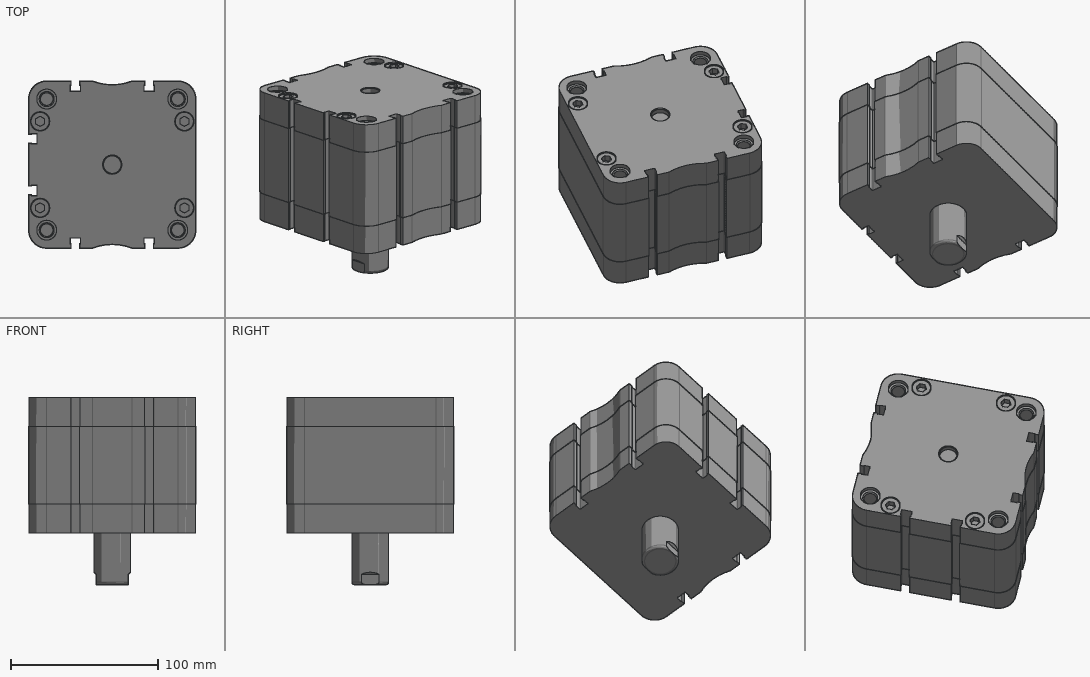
import cadquery as cq

TOTAL_HEIGHT = 127.0
ROD_REACH = 35.0
CAP_HEIGHT = 19.5
TUBE_BOTTOM = ROD_REACH + CAP_HEIGHT
TUBE_TOP = TOTAL_HEIGHT - CAP_HEIGHT

WIDTH = 113.5
HALF_WIDTH = WIDTH / 2
CORNER_RADIUS = 12.3
CAP_INSET = 0.3

HOLLOW_HALF_WIDTH = 13.5
HOLLOW_DEPTH = 2.5

SLOT_MOUTH_WIDTH = 5.7
SLOT_INNER_WIDTH = 6.7
SIDE_SLOT_OFFSET = 17.5
SIDE_SLOT_DEPTH = 5.6
SIDE_SLOT_LIP = 2.0
FACE_SLOT_OFFSET = 25.0
FACE_SLOT_DEPTH = 6.9
FACE_SLOT_LIP = 3.2

MOUNT_OFFSET = 44.5
MOUNT_BORE = 8.5
MOUNT_CHAMFER_DIAMETER = 10.2
MOUNT_COUNTERBORE = 13.5
MOUNT_COUNTERBORE_DEPTH = 3.0

CENTRE_BORE = 12.0
CENTRE_MOUTH = 13.1
CENTRE_DEPTH = 3.8

SCREW_X = 48.9
SCREW_Y = 29.3
SCREW_RECESS = 13.1
SCREW_RECESS_DEPTH = 1.0
SCREW_HEAD = 12.7
SCREW_HEAD_DROP = 0.6
SCREW_HEAD_CHAMFER = 0.19
HEX_ACROSS_FLATS = 6.0
HEX_DEPTH = 5.1

ROD_DIAMETER = 25.0
ROD_TIP_RADIUS = 1.9
WIDTH_ACROSS_FLATS = 22.0
FLAT_HEIGHT = 7.0


def rectangle_points(offset_x, offset_y):
    """Four points, mirrored about both axes."""
    return [(sx * offset_x, sy * offset_y) for sx in (-1, 1) for sy in (-1, 1)]


def slot_cutter(mouth_centre, angle, lip, depth, height):
    """T-slot cutter whose mouth lies at mouth_centre; at angle 0 it runs inward along +X."""
    mouth = cq.Workplane("XY").box(2 * lip, SLOT_MOUTH_WIDTH, height, centered=(True, True, False))
    inner = (
        cq.Workplane("XY")
        .box(depth - lip, SLOT_INNER_WIDTH, height, centered=(False, True, False))
        .translate((lip, 0, 0))
    )
    cutter = mouth.union(inner).rotate((0, 0, 0), (0, 0, 1), angle)
    return cutter.translate((*mouth_centre, 0))


def hollow_cutter(side, height):
    """Circular-arc hollow in the front (side = -1) or rear (side = 1) face."""
    face_y = side * HALF_WIDTH
    return (
        cq.Workplane("XY")
        .moveTo(-HOLLOW_HALF_WIDTH, face_y)
        .threePointArc((0, face_y - side * HOLLOW_DEPTH), (HOLLOW_HALF_WIDTH, face_y))
        .close()
        .extrude(height)
    )


def make_profile_block(height):
    """Rounded square block with the T-slots and hollows along its full height."""
    block = (
        cq.Workplane("XY")
        .rect(WIDTH, WIDTH)
        .extrude(height)
        .edges("|Z")
        .fillet(CORNER_RADIUS)
    )
    for side in (-1, 1):
        block = block.cut(hollow_cutter(side, height))
        side_mouth = (-HALF_WIDTH, side * SIDE_SLOT_OFFSET)
        block = block.cut(slot_cutter(side_mouth, 0, SIDE_SLOT_LIP, SIDE_SLOT_DEPTH, height))
    for x, y in rectangle_points(FACE_SLOT_OFFSET, HALF_WIDTH):
        angle = 90 if y < 0 else -90
        block = block.cut(slot_cutter((x, y), angle, FACE_SLOT_LIP, FACE_SLOT_DEPTH, height))
    return block


def make_plain_cap(bottom):
    """Cap with the tube outline drawn in by CAP_INSET."""
    outline = make_profile_block(CAP_HEIGHT).faces("<Z").wires().val()
    return (
        cq.Workplane("XY")
        .add(outline.offset2D(-CAP_INSET)[0])
        .toPending()
        .extrude(CAP_HEIGHT)
        .translate((0, 0, bottom))
    )


def make_tube():
    return make_profile_block(TUBE_TOP - TUBE_BOTTOM).translate((0, 0, TUBE_BOTTOM))


def make_lower_cap():
    """Lower cap, bored through to fit the rod."""
    bore = cq.Workplane("XY").circle(ROD_DIAMETER / 2).extrude(TUBE_BOTTOM)
    return make_plain_cap(ROD_REACH).cut(bore)


def mount_hole_cutter():
    """Threaded hole through the cap, with a chamfered mouth at the counterbore floor."""
    floor = -MOUNT_COUNTERBORE_DEPTH
    bore_radius = MOUNT_BORE / 2
    chamfer_radius = MOUNT_CHAMFER_DIAMETER / 2
    counterbore_radius = MOUNT_COUNTERBORE / 2
    return (
        cq.Workplane("XZ")
        .moveTo(0, 0)
        .lineTo(counterbore_radius, 0)
        .lineTo(counterbore_radius, floor)
        .lineTo(chamfer_radius, floor)
        .lineTo(bore_radius, floor - (chamfer_radius - bore_radius))
        .lineTo(bore_radius, -CAP_HEIGHT)
        .lineTo(0, -CAP_HEIGHT)
        .close()
        .revolve(360, (0, 0), (0, 1))
    )


def centre_hole_cutter():
    """Blind centring hole with a chamfered mouth."""
    bore_radius = CENTRE_BORE / 2
    mouth_radius = CENTRE_MOUTH / 2
    return (
        cq.Workplane("XZ")
        .moveTo(0, 0)
        .lineTo(mouth_radius, 0)
        .lineTo(bore_radius, -(mouth_radius - bore_radius))
        .lineTo(bore_radius, -CENTRE_DEPTH)
        .lineTo(0, -CENTRE_DEPTH)
        .close()
        .revolve(360, (0, 0), (0, 1))
    )


def screw_recess_cutter():
    """Recess that leaves a sunk, chamfered screw head with a hexagon socket."""
    head_height = SCREW_RECESS_DEPTH - SCREW_HEAD_DROP
    head = (
        cq.Workplane("XY")
        .circle(SCREW_HEAD / 2)
        .extrude(head_height)
        .faces(">Z")
        .chamfer(SCREW_HEAD_CHAMFER)
        .translate((0, 0, -SCREW_RECESS_DEPTH))
    )
    recess = cq.Workplane("XY").circle(SCREW_RECESS / 2).extrude(-SCREW_RECESS_DEPTH)
    socket = (
        cq.Workplane("XY")
        .polygon(6, HEX_ACROSS_FLATS, circumscribed=True)
        .extrude(-HEX_DEPTH)
    )
    return recess.cut(head).union(socket)


def make_upper_cap():
    cap = make_plain_cap(TUBE_TOP).cut(centre_hole_cutter().translate((0, 0, TOTAL_HEIGHT)))
    for x, y in rectangle_points(MOUNT_OFFSET, MOUNT_OFFSET):
        cap = cap.cut(mount_hole_cutter().translate((x, y, TOTAL_HEIGHT)))
    for x, y in rectangle_points(SCREW_X, SCREW_Y):
        cap = cap.cut(screw_recess_cutter().translate((x, y, TOTAL_HEIGHT)))
    return cap


def make_rod():
    """Rod from its rounded tip to the underside of the tube, with two wrench flats."""
    rod_radius = ROD_DIAMETER / 2
    rod = (
        cq.Workplane("XY")
        .circle(rod_radius)
        .extrude(TUBE_BOTTOM)
        .faces("<Z")
        .edges()
        .fillet(ROD_TIP_RADIUS)
    )
    flat_x = WIDTH_ACROSS_FLATS / 2
    runout = rod_radius - flat_x
    for side in (-1, 1):
        flat = (
            cq.Workplane("XZ")
            .moveTo(side * flat_x, 0)
            .lineTo(side * flat_x, FLAT_HEIGHT)
            .lineTo(side * rod_radius, FLAT_HEIGHT + runout)
            .lineTo(side * rod_radius, 0)
            .close()
            .extrude(rod_radius, both=True)
        )
        rod = rod.cut(flat)
    return rod


tube = make_tube()
lower_cap = make_lower_cap()
upper_cap = make_upper_cap()
rod = make_rod()

result = cq.Compound.makeCompound([tube.val(), lower_cap.val(), upper_cap.val(), rod.val()])